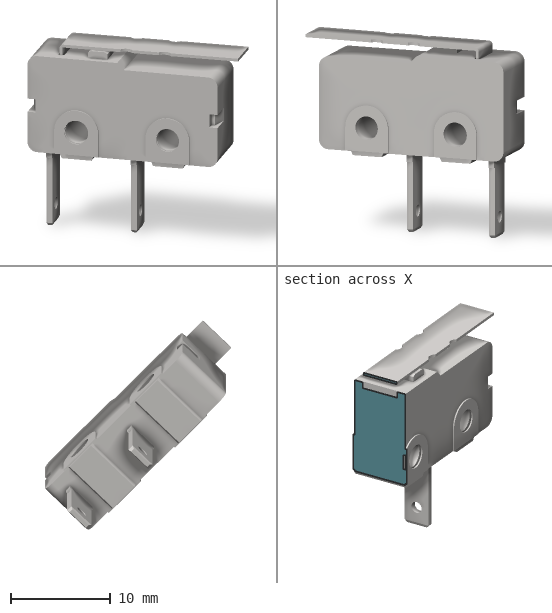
import cadquery as cq
import math


body_length = 19.8
body_depth = 6.09
body_height = 10.18
corner_radius = 1.0
step_start = 9.34
step_drop = 0.7
front_y = -body_depth / 2

lug_width = 4.6
lug_thickness = 0.15
lug_lift = 0.06
hole_z = 2.5
hole_x_large = 5.11
hole_pitch = 9.5
large_hole_diameter = 2.5
small_hole_diameter = 2.4
groove_diameter = 3.7
groove_setback = lug_thickness
groove_width = 0.22
foot_top_width = 3.47
foot_bottom_width = 3.08
foot_height = 0.41

notch_bottom = 4.2
notch_height = 1.39
notch_depth = 0.85
notch_ramp_depth = 0.5
notch_ramp_start = -0.65
notch_ramp_end = -2.25

terminal_positions = (1.85, 10.64)
terminal_thickness = 0.63
shoulder_width = 3.16
shoulder_length = 1.0
blade_width = 2.82
terminal_length = 8.25
tip_length = 0.3
tip_side_inset = 0.25
tip_face_inset = 0.1
terminal_hole_diameter = 1.2
terminal_hole_drop = 6.25

lever_front = -2.04
lever_back = 1.95
lever_thickness = 0.3
lever_left = 3.05
lever_tip = 21.65
bend_radius = 0.41
lever_heel_top = 11.28
lever_tip_top = 11.4
lever_notch_positions = (10.03, 14.01)
lever_notch_width = 1.21
lever_notch_depth = 0.32

slot_left = 2.9
slot_right = 3.55
slot_back = 2.01
slot_depth = 0.65

plunger_left = 6.1
plunger_width = 2.01
plunger_front = -2.27
plunger_back = 0.0
plunger_top = 10.94
plunger_chamfer_length = 0.35
plunger_chamfer_height = 0.17


def xz_prism(profile, y_start, y_end):
    """Extrude a closed XZ profile from y_start to y_end."""
    return profile.extrude(y_start - y_end).translate((0, y_start, 0))


def xz_plane():
    """Workplane whose local axes are X and Z."""
    return cq.Workplane("XZ")


def make_housing():
    low_height = body_height - step_drop
    profile = (
        xz_plane()
        .polyline([
            (0, 0),
            (body_length, 0),
            (body_length, low_height),
            (step_start + step_drop, low_height),
            (step_start, body_height),
            (0, body_height),
        ])
        .close()
    )
    block = xz_prism(profile, front_y, -front_y)
    return block.edges("|Y and (<X or >X)").fillet(corner_radius)


def make_lugs(hole_x):
    """Arched slab through the housing that stands proud around a hole at the front and the back."""
    radius = lug_width / 2
    profile = (
        xz_plane()
        .moveTo(hole_x - radius, lug_lift)
        .lineTo(hole_x + radius, lug_lift)
        .lineTo(hole_x + radius, hole_z)
        .threePointArc((hole_x, hole_z + radius), (hole_x - radius, hole_z))
        .close()
    )
    lug_y = front_y - lug_thickness
    return xz_prism(profile, lug_y, -lug_y)


def make_foot(hole_x):
    profile = (
        xz_plane()
        .polyline([
            (hole_x - foot_top_width / 2, 0),
            (hole_x - foot_bottom_width / 2, -foot_height),
            (hole_x + foot_bottom_width / 2, -foot_height),
            (hole_x + foot_top_width / 2, 0),
        ])
        .close()
    )
    return xz_prism(profile, front_y, -front_y)


def make_hole(hole_x, diameter):
    """Cut for a through hole with a ring groove behind its front mouth."""
    lug_y = front_y - lug_thickness
    groove_y = lug_y + groove_setback
    center = xz_plane().center(hole_x, hole_z)
    through = xz_prism(center.circle(diameter / 2), lug_y, -lug_y)
    groove = xz_prism(center.circle(groove_diameter / 2), groove_y, groove_y + groove_width)
    return through.union(groove)


def make_end_notch():
    """Cut for the left end: a ramp going in, then a step to the full notch depth."""
    return (
        cq.Workplane("XY")
        .workplane(offset=notch_bottom)
        .polyline([
            (0, notch_ramp_start),
            (notch_ramp_depth, notch_ramp_end),
            (notch_depth, notch_ramp_end),
            (notch_depth, front_y),
            (0, front_y),
        ])
        .close()
        .extrude(notch_height)
    )


def make_terminal(x):
    shoulder = cq.Workplane("XY").rect(terminal_thickness, shoulder_width).extrude(-shoulder_length)
    tip_start = tip_length - terminal_length
    blade = cq.Workplane("XY").rect(terminal_thickness, blade_width).extrude(tip_start)
    tip = (
        cq.Workplane("XY")
        .workplane(offset=tip_start)
        .rect(terminal_thickness, blade_width)
        .workplane(offset=-tip_length)
        .rect(terminal_thickness - 2 * tip_face_inset, blade_width - 2 * tip_side_inset)
        .loft()
    )
    hole = (
        cq.Workplane("YZ")
        .center(0, -terminal_hole_drop)
        .circle(terminal_hole_diameter / 2)
        .extrude(terminal_thickness, both=True)
    )
    return shoulder.union(blade).union(tip).cut(hole).translate((x, 0, 0))


def make_lever_slot():
    return (
        cq.Workplane("XY")
        .box(slot_right - slot_left, slot_back - lever_front, slot_depth, centered=False)
        .translate((slot_left, lever_front, body_height - slot_depth))
    )


def make_lever():
    """Bent strip: a leg standing in the slot and a long arm rising slightly to its tip."""
    leg_bottom = body_height - slot_depth
    leg_right = lever_left + lever_thickness
    bend_x = lever_left + bend_radius
    bend_z = lever_heel_top - bend_radius
    inner_radius = bend_radius - lever_thickness
    diagonal = math.sqrt(0.5)
    profile = (
        xz_plane()
        .moveTo(leg_right, leg_bottom)
        .lineTo(leg_right, bend_z)
        .threePointArc(
            (bend_x - inner_radius * diagonal, bend_z + inner_radius * diagonal),
            (bend_x, bend_z + inner_radius),
        )
        .lineTo(lever_tip, lever_tip_top - lever_thickness)
        .lineTo(lever_tip, lever_tip_top)
        .lineTo(bend_x, lever_heel_top)
        .threePointArc(
            (bend_x - bend_radius * diagonal, bend_z + bend_radius * diagonal),
            (lever_left, bend_z),
        )
        .lineTo(lever_left, leg_bottom)
        .close()
    )
    lever = xz_prism(profile, lever_front, lever_back)
    for x in lever_notch_positions:
        for edge_y, inward in ((lever_front, 1), (lever_back, -1)):
            scallop = (
                cq.Workplane("XY")
                .workplane(offset=body_height)
                .moveTo(x - lever_notch_width / 2, edge_y)
                .threePointArc(
                    (x, edge_y + inward * lever_notch_depth),
                    (x + lever_notch_width / 2, edge_y),
                )
                .close()
                .extrude(lever_tip_top - body_height)
            )
            lever = lever.cut(scallop)
    return lever


def make_plunger():
    plunger_right = plunger_left + plunger_width
    shoulder_z = plunger_top - plunger_chamfer_height
    profile = (
        xz_plane()
        .polyline([
            (plunger_left, body_height),
            (plunger_right, body_height),
            (plunger_right, shoulder_z),
            (plunger_right - plunger_chamfer_length, plunger_top),
            (plunger_left + plunger_chamfer_length, plunger_top),
            (plunger_left, shoulder_z),
        ])
        .close()
    )
    return xz_prism(profile, plunger_front, plunger_back)


mounting_holes = (
    (hole_x_large, large_hole_diameter),
    (hole_x_large + hole_pitch, small_hole_diameter),
)

result = make_housing()
for hole_x, _ in mounting_holes:
    result = result.union(make_lugs(hole_x)).union(make_foot(hole_x))
for hole_x, diameter in mounting_holes:
    result = result.cut(make_hole(hole_x, diameter))

left_notch = make_end_notch()
right_notch = left_notch.mirror("YZ").translate((body_length, 0, 0))
result = result.cut(left_notch).cut(right_notch)

result = result.cut(make_lever_slot()).union(make_lever()).union(make_plunger())
for terminal_x in terminal_positions:
    result = result.union(make_terminal(terminal_x))